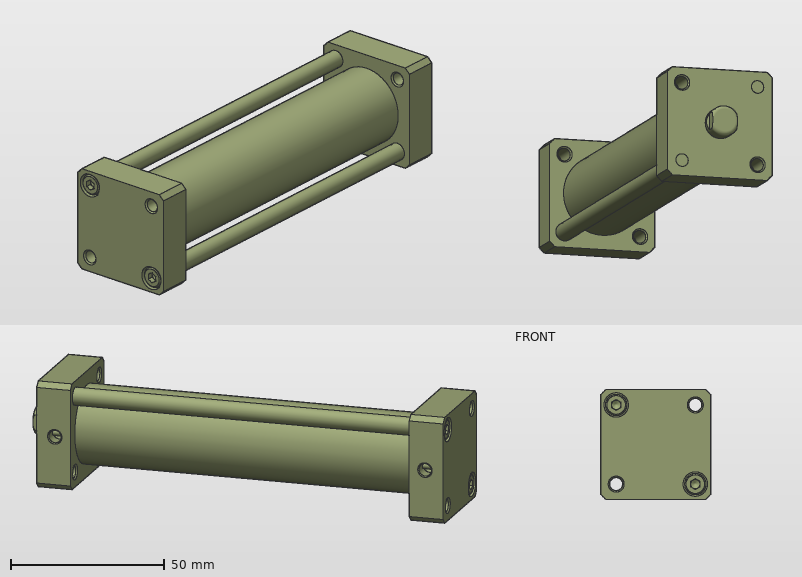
import cadquery as cq
import math

TOTAL_LENGTH = 145.0
CAP_SIDE = 36.0
CAP_LENGTH = 11.6
CAP_CORNER_CHAMFER = 1.7
ROD_PROTRUSION = 5.8

TUBE_OUTER_DIAMETER = 26.5
TUBE_BORE_DIAMETER = 25.0

CORNER_SPACING = 25.8
MOUNT_HOLE_DIAMETER = 4.2
MOUNT_COUNTERSINK_DIAMETER = 5.2

BOLT_SHAFT_DIAMETER = 6.0
BOLT_THREAD_DIAMETER = 4.2
BOLT_HEAD_DIAMETER = 7.0
BOLT_HEAD_CHAMFER = 0.5
BOLT_HEAD_LENGTH = 4.0
BOLT_RECESS_DIAMETER = 8.0
BOLT_HEAD_INSET = 0.3
SOCKET_ACROSS_FLATS = 3.0
SOCKET_DEPTH = 2.0

PORT_DIAMETER = 4.2
PORT_TO_TUBE = 5.4
PORT_MOUTH_DIAMETER = 5.0
PORT_DEPTH = 5.0
DRILL_POINT_ANGLE = 118.0
PORT_BAR_DIAMETER = 2.0

ROD_DIAMETER = 10.0
ROD_FLAT_WIDTH = 8.4
ROD_FLAT_LENGTH = 3.5
ROD_FLAT_RAMP = 1.0
ROD_NOSE_RADIUS = 1.3

REAR_CAP_END = TOTAL_LENGTH - ROD_PROTRUSION
REAR_CAP_START = REAR_CAP_END - CAP_LENGTH
CORNER = CORNER_SPACING / 2
BOLT_CENTERS = [(-CORNER, CORNER), (CORNER, -CORNER)]
MOUNT_HOLE_CENTERS = [(-CORNER, -CORNER), (CORNER, CORNER)]


def cylinder_y(diameter, start, end, center=(0, 0)):
    """Cylinder along +Y between two Y positions, centred on (x, z)."""
    x, z = center
    return cq.Workplane(
        cq.Solid.makeCylinder(diameter / 2, end - start, cq.Vector(x, start, z), cq.Vector(0, 1, 0))
    )


def cone_y(start_diameter, end_diameter, start, end, center=(0, 0)):
    """Cone along +Y between two Y positions, centred on (x, z)."""
    x, z = center
    return cq.Workplane(
        cq.Solid.makeCone(
            start_diameter / 2, end_diameter / 2, end - start, cq.Vector(x, start, z), cq.Vector(0, 1, 0)
        )
    )


def drill_point_length(diameter):
    """Length of the cone that a drill leaves at the bottom of a blind hole."""
    return diameter / 2 / math.tan(math.radians(DRILL_POINT_ANGLE / 2))


def mount_hole(start, end, center):
    """Through hole with a 45 degree countersink at both faces."""
    sink = (MOUNT_COUNTERSINK_DIAMETER - MOUNT_HOLE_DIAMETER) / 2
    hole = cylinder_y(MOUNT_HOLE_DIAMETER, start, end, center)
    hole = hole.union(cone_y(MOUNT_COUNTERSINK_DIAMETER, MOUNT_HOLE_DIAMETER, start, start + sink, center))
    return hole.union(cone_y(MOUNT_HOLE_DIAMETER, MOUNT_COUNTERSINK_DIAMETER, end - sink, end, center))


def side_port(y):
    """Drilled port in the -X side, with a round bar left standing across its bottom."""
    radius = PORT_DIAMETER / 2
    mouth_radius = PORT_MOUTH_DIAMETER / 2
    mouth_depth = mouth_radius - radius
    tip_depth = PORT_DEPTH + drill_point_length(PORT_DIAMETER)
    side = -CAP_SIDE / 2
    profile = [
        (side, y),
        (side, y + mouth_radius),
        (side + mouth_depth, y + radius),
        (side + PORT_DEPTH, y + radius),
        (side + tip_depth, y),
    ]
    port = cq.Workplane("XY").polyline(profile).close().revolve(360, (side, y), (side + 1.5, y))
    bar = cylinder_y(PORT_BAR_DIAMETER, y - mouth_radius, y + mouth_radius, (side + PORT_DEPTH, 0))
    return port.cut(bar)


def cap(start, port_y):
    """Square end cap with cut corners, mounting holes and a side port."""
    end = start + CAP_LENGTH
    body = (
        cq.Workplane("XY")
        .box(CAP_SIDE, CAP_LENGTH, CAP_SIDE)
        .edges("|Y")
        .chamfer(CAP_CORNER_CHAMFER)
        .translate((0, start + CAP_LENGTH / 2, 0))
    )
    for center in MOUNT_HOLE_CENTERS:
        body = body.cut(mount_hole(start, end, center))
    return body.cut(side_port(port_y))


def front_cap():
    """Cap at Y = 0, counterbored for the bolt heads."""
    body = cap(0, CAP_LENGTH - PORT_TO_TUBE)
    for center in BOLT_CENTERS:
        body = body.cut(cylinder_y(BOLT_RECESS_DIAMETER, 0, BOLT_HEAD_INSET + BOLT_HEAD_LENGTH, center))
        body = body.cut(cylinder_y(BOLT_THREAD_DIAMETER, 0, CAP_LENGTH, center))
    return body


def rear_cap():
    """Cap that carries the piston rod and takes the bolt threads."""
    body = cap(REAR_CAP_START, REAR_CAP_START + PORT_TO_TUBE)
    for center in BOLT_CENTERS:
        body = body.cut(cylinder_y(BOLT_THREAD_DIAMETER, REAR_CAP_START, REAR_CAP_END, center))
    return body.cut(cylinder_y(ROD_DIAMETER, REAR_CAP_START, REAR_CAP_END))


def barrel():
    """Tube held between the two caps."""
    outer = cylinder_y(TUBE_OUTER_DIAMETER, CAP_LENGTH, REAR_CAP_START)
    return outer.cut(cylinder_y(TUBE_BORE_DIAMETER, CAP_LENGTH, REAR_CAP_START))


def tie_bolt(center):
    """Socket head bolt with a thick shaft between the caps and thin ends inside them."""
    x, z = center
    head_end = BOLT_HEAD_INSET + BOLT_HEAD_LENGTH
    head = cylinder_y(BOLT_HEAD_DIAMETER, BOLT_HEAD_INSET, head_end, center)
    head = head.faces("<Y").chamfer(BOLT_HEAD_CHAMFER)
    bolt = head.union(cylinder_y(BOLT_THREAD_DIAMETER, head_end, REAR_CAP_END, center))
    bolt = bolt.union(cylinder_y(BOLT_SHAFT_DIAMETER, CAP_LENGTH, REAR_CAP_START, center))
    socket_end = BOLT_HEAD_INSET + SOCKET_DEPTH
    socket = (
        cq.Workplane("XZ", origin=(x, BOLT_HEAD_INSET, z))
        .polygon(6, SOCKET_ACROSS_FLATS, circumscribed=True)
        .extrude(-SOCKET_DEPTH)
    )
    point_length = drill_point_length(SOCKET_ACROSS_FLATS)
    point = cone_y(SOCKET_ACROSS_FLATS, 0, socket_end, socket_end + point_length, center)
    return bolt.cut(socket).cut(point)


def piston_rod():
    """Rod through the rear cap, with a rounded nose and two wrench flats."""
    rod = cylinder_y(ROD_DIAMETER, REAR_CAP_START, TOTAL_LENGTH)
    rod = rod.faces(">Y").edges().fillet(ROD_NOSE_RADIUS)
    flat = ROD_FLAT_WIDTH / 2
    outside = ROD_DIAMETER / 2
    flat_start = TOTAL_LENGTH - ROD_FLAT_LENGTH
    for side in (-1, 1):
        cutter = (
            cq.Workplane("XY")
            .polyline([
                (side * flat, TOTAL_LENGTH),
                (side * flat, flat_start),
                (side * outside, flat_start - ROD_FLAT_RAMP),
                (side * outside, TOTAL_LENGTH),
            ])
            .close()
            .extrude(ROD_DIAMETER / 2, both=True)
        )
        rod = rod.cut(cutter)
    return rod


bolts = [tie_bolt(center) for center in BOLT_CENTERS]

result = cq.Compound.makeCompound([
    front_cap().val(),
    rear_cap().val(),
    barrel().val(),
    piston_rod().val(),
    *[bolt.val() for bolt in bolts],
])